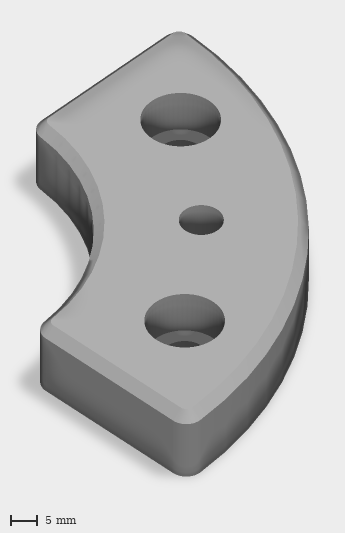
import cadquery as cq
import math

side = 79.9
thickness = 15.0
corner_radius = 3.5
top_chamfer = 2.0

outer_radius = corner_radius + math.hypot(side - corner_radius, corner_radius)
inner_radius = side / 2

bolt_near = side / 4
bolt_far = side - bolt_near
bolt_diameter = 9.0
counterbore_diameter = 15.0
counterbore_depth = 9.0

center_hole_diameter = 8.4
center_hole_radius = (outer_radius + inner_radius) / 2
center_hole_offset = center_hole_radius * math.cos(math.pi / 4)


def quarter_ring():
    """Quarter ring plate with rounded corners and a chamfered top rim."""
    diagonal = math.cos(math.pi / 4)
    plate = (
        cq.Workplane("XY")
        .moveTo(inner_radius, 0)
        .lineTo(outer_radius, 0)
        .threePointArc((outer_radius * diagonal, outer_radius * diagonal), (0, outer_radius))
        .lineTo(0, inner_radius)
        .threePointArc((inner_radius * diagonal, inner_radius * diagonal), (inner_radius, 0))
        .close()
        .extrude(thickness)
    )
    return plate.edges("|Z").fillet(corner_radius).faces(">Z").edges().chamfer(top_chamfer)


def top_plane(body):
    """Work plane on the top face, with its origin at the ring center."""
    return body.faces(">Z").workplane(origin=(0, 0, thickness))


plate = quarter_ring()
bolted_plate = (
    top_plane(plate)
    .pushPoints([(bolt_near, bolt_far), (bolt_far, bolt_near)])
    .cboreHole(bolt_diameter, counterbore_diameter, counterbore_depth)
)
result = (
    top_plane(bolted_plate)
    .pushPoints([(center_hole_offset, center_hole_offset)])
    .hole(center_hole_diameter)
)